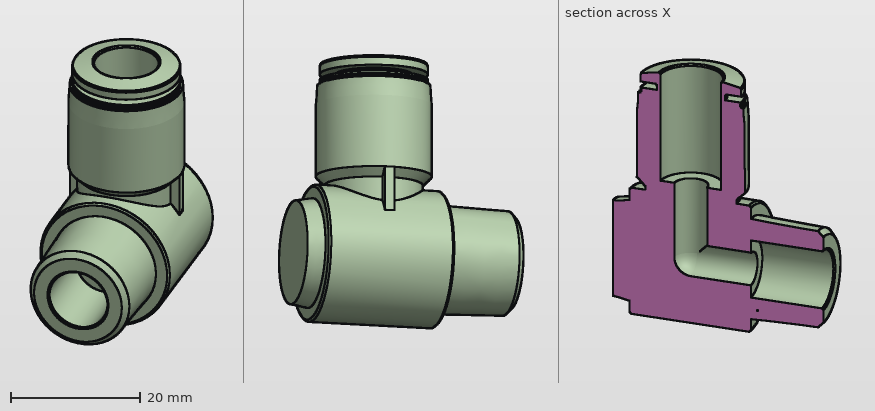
import cadquery as cq

body_diameter = 21.3
body_radius = body_diameter / 2
body_front_y = -10.0
body_rear_y = 10.2
body_chamfer = 0.35

plug_rear_y = 12.95
plug_base_diameter = 17.05
plug_end_diameter = 16.13

overall_length = 35.0
nipple_front_y = plug_rear_y - overall_length
nipple_base_diameter = 16.95
nipple_end_diameter = 16.25
nipple_chamfer = 0.9
nipple_bore_diameter = 9.5
nipple_mouth_diameter = 10.0

overall_height = 41.35
stem_top = overall_height - body_radius
neck_diameter = 15.2
sleeve_diameter = 18.0
sleeve_radius = sleeve_diameter / 2
cone_bottom = 11.15
cone_top = cone_bottom + (sleeve_diameter - neck_diameter) / 2
collar_bottom = 23.75
collar_top = 26.8
collar_top_diameter = 17.57

button_diameter = 16.8
button_neck_diameter = 11.4
button_neck_flare = 0.2
ring_top = 27.7
ring_groove_bottom = 27.1
ring_groove_top = 27.35
ring_groove_depth = 0.15
button_bottom = 28.6
button_rim_top = 29.85
button_edge_height = 0.3
button_edge_inset = 0.12
tube_bore_diameter = 10.0
tube_mouth_diameter = 10.55
tube_bore_floor = cone_top

passage_diameter = 5.4
rib_width = 1.57


def revolve_about_y(profile):
    """Revolve a closed (radius, y) profile about the Y axis."""
    return cq.Workplane("XY").polyline(profile).close().revolve(360, (0, 0, 0), (0, 1, 0))


def revolve_about_z(profile):
    """Revolve a closed (radius, z) profile about the Z axis."""
    return cq.Workplane("XZ").polyline(profile).close().revolve(360, (0, 0, 0), (0, 1, 0))


def make_body():
    """Barrel with chamfered ends, the rear plug and the front nipple."""
    nipple_chamfer_y = nipple_front_y + nipple_chamfer
    return revolve_about_y([
        (0, nipple_front_y),
        (nipple_end_diameter / 2 - nipple_chamfer, nipple_front_y),
        (nipple_end_diameter / 2, nipple_chamfer_y),
        (nipple_base_diameter / 2, body_front_y),
        (body_radius - body_chamfer, body_front_y),
        (body_radius, body_front_y + body_chamfer),
        (body_radius, body_rear_y - body_chamfer),
        (body_radius - body_chamfer, body_rear_y),
        (plug_base_diameter / 2, body_rear_y),
        (plug_end_diameter / 2, plug_rear_y),
        (0, plug_rear_y),
    ])


def make_stem():
    """Neck, sleeve, tapered collar, grooved ring and release button."""
    button_radius = button_diameter / 2
    button_neck_radius = button_neck_diameter / 2
    groove_radius = button_radius - ring_groove_depth
    return revolve_about_z([
        (0, 0),
        (neck_diameter / 2, 0),
        (neck_diameter / 2, cone_bottom),
        (sleeve_radius, cone_top),
        (sleeve_radius, collar_bottom),
        (collar_top_diameter / 2, collar_top),
        (button_radius, collar_top),
        (button_radius, ring_groove_bottom),
        (groove_radius, ring_groove_bottom),
        (groove_radius, ring_groove_top),
        (button_radius, ring_groove_top),
        (button_radius, ring_top),
        (button_neck_radius, ring_top),
        (button_neck_radius, button_bottom - button_neck_flare),
        (button_neck_radius + button_neck_flare, button_bottom),
        (button_radius, button_bottom),
        (button_radius, button_rim_top),
        (button_radius - button_edge_inset, button_rim_top + button_edge_height),
        (tube_mouth_diameter / 2, stem_top),
        (0, stem_top),
    ])


def make_ribs():
    """Flat web across the neck, standing out as a rib on each X side."""
    return cq.Workplane("XY").box(sleeve_diameter, rib_width, cone_top, centered=(True, True, False))


def make_tube_bore():
    """Socket for the tube, with a chamfered mouth."""
    bore_radius = tube_bore_diameter / 2
    mouth_radius = tube_mouth_diameter / 2
    return revolve_about_z([
        (0, tube_bore_floor),
        (bore_radius, tube_bore_floor),
        (bore_radius, stem_top - (mouth_radius - bore_radius)),
        (mouth_radius, stem_top),
        (0, stem_top),
    ])


def make_nipple_bore():
    """Socket in the nipple, as deep as the nipple, with a chamfered mouth."""
    bore_radius = nipple_bore_diameter / 2
    mouth_radius = nipple_mouth_diameter / 2
    return revolve_about_y([
        (0, nipple_front_y),
        (mouth_radius, nipple_front_y),
        (bore_radius, nipple_front_y + mouth_radius - bore_radius),
        (bore_radius, body_front_y),
        (0, body_front_y),
    ])


def make_passage():
    """Elbow passage joining the two sockets around a spherical corner."""
    passage_radius = passage_diameter / 2
    corner = cq.Workplane("XY").sphere(passage_radius)
    upright = cq.Workplane("XY").circle(passage_radius).extrude(tube_bore_floor)
    forward = cq.Workplane("XZ").circle(passage_radius).extrude(-body_front_y)
    return corner.union(upright).union(forward)


outside = make_body().union(make_stem()).union(make_ribs())
result = outside.cut(make_tube_bore()).cut(make_nipple_bore()).cut(make_passage())